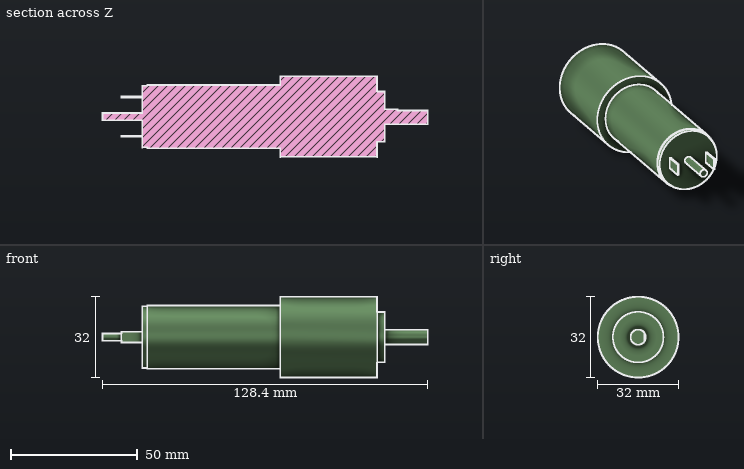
import cadquery as cq


overall_length = 128.4
gearbox_length = 38.3
motor_length = 52.5
end_cap_length = 2.0
pilot_length = 3.0
output_shaft_length = 17.0
rear_shaft_length = (
    overall_length - end_cap_length - motor_length
    - gearbox_length - pilot_length - output_shaft_length
)

gearbox_diameter = 32.0
motor_diameter = 25.0
end_cap_diameter = 24.5
pilot_diameter = 20.0
output_shaft_diameter = 6.0
rear_shaft_diameter = 3.0

flat_length = 12.0
flat_depth = 0.5

terminal_length = 8.1
terminal_height = 4.4
terminal_thickness = 0.5
terminal_spacing = 15.5

motor_front_x = -gearbox_length
cap_front_x = motor_front_x - motor_length
cap_rear_x = cap_front_x - end_cap_length
rear_tip_x = cap_rear_x - rear_shaft_length
pilot_face_x = pilot_length
output_tip_x = pilot_face_x + output_shaft_length


def cylinder(start_x, end_x, diameter):
    """Solid cylinder on the X axis between two stations."""
    return (
        cq.Workplane("YZ", origin=(start_x, 0, 0))
        .circle(diameter / 2)
        .extrude(end_x - start_x)
    )


def stepped_body():
    """Rear shaft, end cap, motor, gearbox and pilot boss joined end to end."""
    body = cylinder(motor_front_x, 0, gearbox_diameter)
    body = body.union(cylinder(cap_front_x, motor_front_x, motor_diameter))
    body = body.union(cylinder(cap_rear_x, cap_front_x, end_cap_diameter))
    body = body.union(cylinder(rear_tip_x, cap_rear_x, rear_shaft_diameter))
    return body.union(cylinder(0, pilot_face_x, pilot_diameter))


def output_shaft():
    """Output shaft with a flat running to its tip."""
    shaft = cylinder(pilot_face_x, output_tip_x, output_shaft_diameter)
    flat_y = output_shaft_diameter / 2 - flat_depth
    flat_cutter = (
        cq.Workplane("XY")
        .box(flat_length, flat_depth, output_shaft_diameter, centered=(False, False, True))
        .translate((output_tip_x - flat_length, flat_y, 0))
    )
    return shaft.cut(flat_cutter)


def terminal(center_y):
    """Flat upright blade standing out from the rear of the end cap."""
    return (
        cq.Workplane("YZ", origin=(cap_rear_x, center_y, 0))
        .rect(terminal_thickness, terminal_height)
        .extrude(-terminal_length)
    )


result = stepped_body().union(output_shaft())
for side in (-1, 1):
    result = result.union(terminal(side * terminal_spacing / 2))